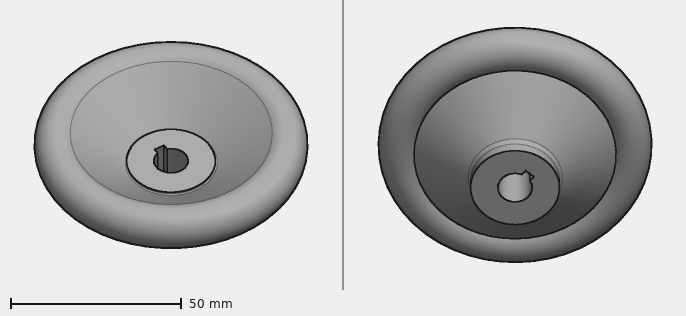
import cadquery as cq
import math

outer_radius = 40.0
height = 29.0
tube_radius = 6.5
tube_center_radius = outer_radius - tube_radius
tube_center_z = height - tube_radius

web_angle = math.radians(37.5)
web_slope = math.tan(web_angle)

hub_radius = 13.0
hub_top_z = 16.0
neck_fillet = 2.0
groove_fillet = 0.28

bore_radius = 5.0
keyway_width = 3.2
keyway_reach = 6.5

web_edge_radius = tube_center_radius - tube_radius * math.sin(web_angle)
dish_edge_z = tube_center_z + tube_radius * math.cos(web_angle)
underside_edge_z = tube_center_z - tube_radius * math.cos(web_angle)


def dish_z(radius):
    """Height of the upper cone at a given radius."""
    return dish_edge_z - (web_edge_radius - radius) * web_slope


def underside_z(radius):
    """Height of the lower cone at a given radius."""
    return underside_edge_z - (web_edge_radius - radius) * web_slope


def corner_arc(radius, center_z, cone_direction):
    """Start, middle and end (R, Z) of an arc from the hub wall to a cone.

    cone_direction is the angle, from the arc center, of the point of tangency on the cone.
    """
    center_r = hub_radius + radius
    wall_direction = math.pi
    middle_direction = (wall_direction + cone_direction) / 2
    return [
        (center_r + radius * math.cos(angle), center_z + radius * math.sin(angle))
        for angle in (wall_direction, middle_direction, cone_direction)
    ]


groove_wall, groove_middle, groove_cone = corner_arc(
    groove_fillet,
    dish_z(hub_radius + groove_fillet) + groove_fillet / math.cos(web_angle),
    1.5 * math.pi + web_angle,
)

neck_wall, neck_middle, neck_cone = corner_arc(
    neck_fillet,
    underside_z(hub_radius + neck_fillet) - neck_fillet / math.cos(web_angle),
    0.5 * math.pi + web_angle,
)

wheel = (
    cq.Workplane("XZ")
    .moveTo(0, 0)
    .lineTo(hub_radius, 0)
    .lineTo(*neck_wall)
    .threePointArc(neck_middle, neck_cone)
    .lineTo(web_edge_radius, underside_edge_z)
    .threePointArc((outer_radius, tube_center_z), (web_edge_radius, dish_edge_z))
    .lineTo(*groove_cone)
    .threePointArc(groove_middle, groove_wall)
    .lineTo(hub_radius, hub_top_z)
    .lineTo(0, hub_top_z)
    .close()
    .revolve(360, (0, 0, 0), (0, 1, 0))
)

bore = cq.Workplane("XY").circle(bore_radius).extrude(hub_top_z)
keyway = (
    cq.Workplane("XY")
    .center(-keyway_reach / 2, 0)
    .rect(keyway_reach, keyway_width)
    .extrude(hub_top_z)
)

result = wheel.cut(bore).cut(keyway)